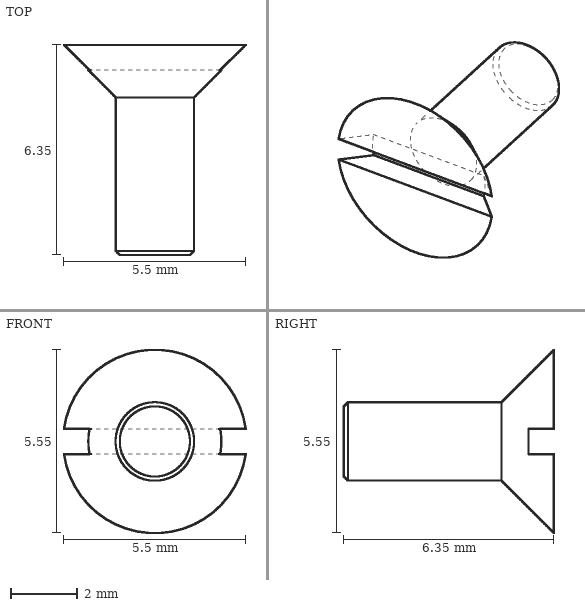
import cadquery as cq

total_length = 6.35
head_radius = 2.775
shank_radius = 1.19
tip_chamfer = 0.13
slot_width = 0.76
slot_depth = 0.76

head_height = head_radius - shank_radius
shank_length = total_length - head_height


def screw_body():
    """Revolve the half profile about the Y axis, tip at Y = 0."""
    profile = (
        cq.Workplane("XY")
        .moveTo(0, 0)
        .lineTo(shank_radius - tip_chamfer, 0)
        .lineTo(shank_radius, tip_chamfer)
        .lineTo(shank_radius, shank_length)
        .lineTo(head_radius, total_length)
        .lineTo(0, total_length)
        .close()
    )
    return profile.revolve(360, (0, 0, 0), (0, 1, 0))


def driver_slot():
    """Straight slot across the flat head face, running along X."""
    cutter = cq.Workplane("XY").box(2 * head_radius, 2 * slot_depth, slot_width)
    return cutter.translate((0, total_length, 0))


result = screw_body().cut(driver_slot())